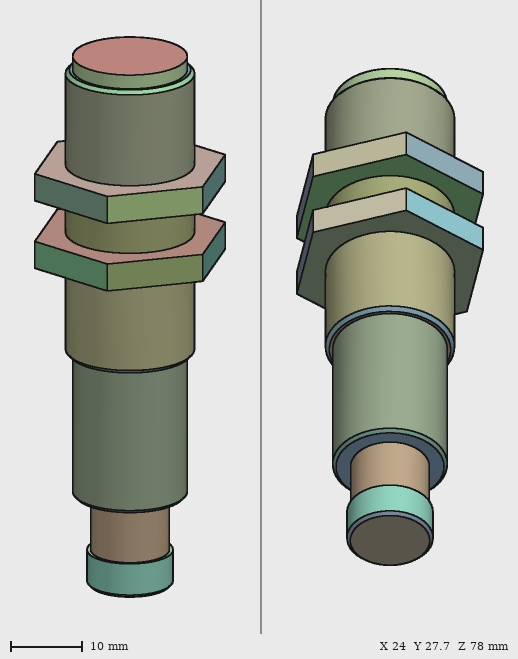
import cadquery as cq

total_height = 78.0
plug_top = 5.1
neck_top = 13.2
sleeve_top = 34.2
barrel_top = 76.0

plug_diameter = 12.0
neck_diameter = 11.0
sleeve_diameter = 16.0
barrel_diameter = 18.0

plug_chamfer = 0.5
sleeve_chamfer = 0.5
barrel_chamfer = 0.55

nut_across_flats = 24.0
nut_thickness = 4.0
lower_nut_base = 48.05
nut_pitch = 10.0


def cylinder(diameter, bottom, top):
    """Vertical cylinder on the sensor axis."""
    return cq.Workplane("XY").workplane(offset=bottom).circle(diameter / 2).extrude(top - bottom)


def mounting_nut(bottom):
    """Hexagonal nut with its corners pointing along Y."""
    return (
        cq.Workplane("XY")
        .workplane(offset=bottom)
        .polygon(6, nut_across_flats, circumscribed=True)
        .extrude(nut_thickness)
    )


plug = cylinder(plug_diameter, 0, plug_top).faces("<Z").chamfer(plug_chamfer)
neck = cylinder(neck_diameter, plug_top, neck_top)

sleeve = cylinder(sleeve_diameter, neck_top, sleeve_top).faces("<Z").chamfer(sleeve_chamfer)

barrel = cylinder(barrel_diameter, sleeve_top, barrel_top).faces("<Z or >Z").chamfer(barrel_chamfer)

sensing_face = cylinder(sleeve_diameter, barrel_top, total_height)

result = plug.union(neck).union(sleeve).union(barrel).union(sensing_face)
for nut_index in range(2):
    result = result.union(mounting_nut(lower_nut_base + nut_index * nut_pitch))